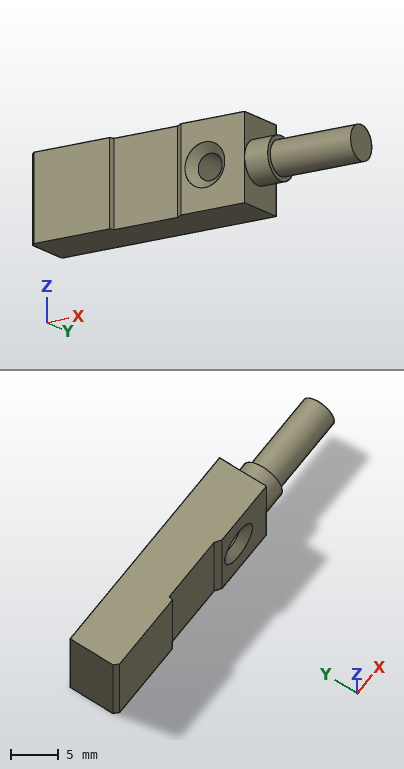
import cadquery as cq

body_length = 27.0
body_depth = 6.0
body_height = 10.0
front_chamfer = 0.5

recess_start = 10.03
recess_end = 19.0
recess_depth = 0.5
recess_left_run = 0.18
recess_right_run = 0.75

hole_x = 22.0
hole_diameter = 3.0
countersink_diameter = 5.0
countersink_angle = 90.0

overall_length = 40.0
collar_diameter = 5.0
collar_length = 2.9
cable_diameter = 4.0
cable_axis_y = collar_diameter / 2


def make_housing():
    """Extrude the XY outline, including the chamfer and the recess."""
    outline = [
        (0, front_chamfer),
        (front_chamfer, 0),
        (recess_start, 0),
        (recess_start + recess_left_run, recess_depth),
        (recess_end - recess_right_run, recess_depth),
        (recess_end, 0),
        (body_length, 0),
        (body_length, body_depth),
        (0, body_depth),
    ]
    return (
        cq.Workplane("XY")
        .polyline(outline)
        .close()
        .extrude(body_height / 2, both=True)
    )


def cut_mounting_hole(housing):
    """Drill the countersunk hole from the front face through to the back."""
    return (
        cq.Workplane("XZ", origin=(hole_x, 0, 0))
        .add(housing)
        .pushPoints([(0, 0)])
        .cskHole(hole_diameter, countersink_diameter, countersink_angle)
    )


def make_rod(diameter, length):
    """Cylinder on the cable axis, starting at the right end of the housing."""
    return (
        cq.Workplane("YZ", origin=(body_length, cable_axis_y, 0))
        .circle(diameter / 2)
        .extrude(length)
    )


housing = cut_mounting_hole(make_housing())
collar = make_rod(collar_diameter, collar_length)
cable = make_rod(cable_diameter, overall_length - body_length)

result = housing.union(collar).union(cable)